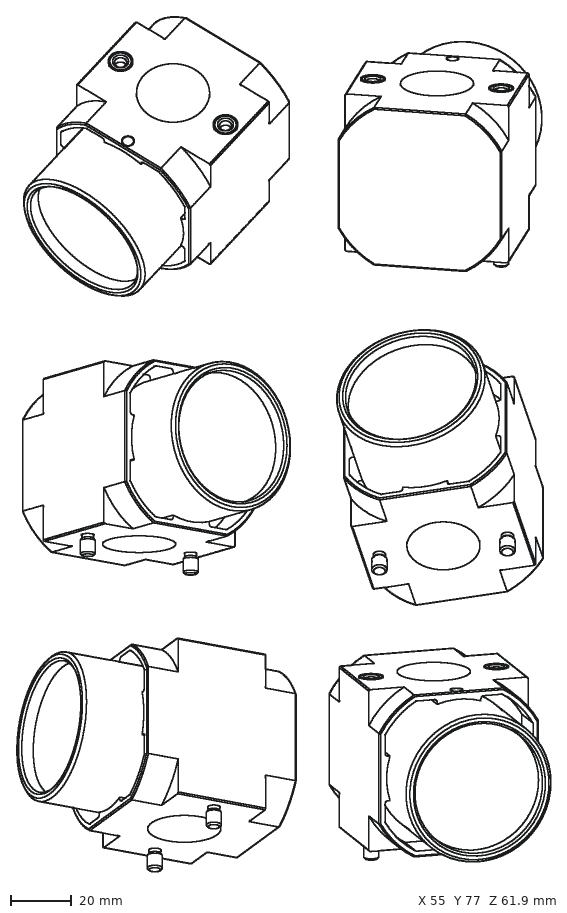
import cadquery as cq


CUBE = 55.0
HALF = CUBE / 2
EDGE_CHAMFER = 0.5
TOTAL_DEPTH = 77.0
BARREL_LENGTH = TOTAL_DEPTH - CUBE
CENTRE_WIDTH = 32.2
LUG_DEPTH = (CUBE - CENTRE_WIDTH) / 2
LUG_RADIUS = 31.5
BORE_DIAMETER = 24.0

BARREL_DIAMETER = 50.0
BARREL_CHAMFER = 1.0
RECESS_DIAMETER = 44.0
RECESS_DEPTH = 5.0
RECESS_CHAMFER = 0.8

POCKET_WALL = 2.0
POCKET_DEPTH = 12.0
POCKET_END = 7.55
POCKET_END_ROUND = 1.0

MARK_DIAMETER = 4.15
MARK_FLOOR_DIAMETER = 3.7
MARK_DEPTH = 0.1
MARK_FROM_FRONT = 2.85

SCREW_OFFSET = 21.55
SCREW_HEAD_DIAMETER = 7.0
SCREW_HEAD_HEIGHT = 5.0
HEAD_HOLE_MOUTH_DIAMETER = 8.1
SHANK_DIAMETER = 4.15
NECK_DIAMETER = 3.7
THREAD_DIAMETER = 5.0
TIP_DIAMETER = 3.8
SCREW_PROTRUSION = 6.85
SHANK_TAPER = 0.85
NECK_END = 1.1
THREAD_START = 1.9
TIP_CHAMFER = 0.6
SOCKET_MOUTH_DIAMETER = 5.2
SOCKET_DIAMETER = 4.0
SOCKET_CHAMFER = (SOCKET_MOUTH_DIAMETER - SOCKET_DIAMETER) / 2
SOCKET_DEPTH = 3.0
SOCKET_CONE_DEPTH = 1.15


def cylinder_from_front(diameter, front_y, depth):
    """Round bar along Y that starts at front_y and runs back by depth."""
    plane = cq.Workplane("XZ", origin=(0, front_y, 0))
    return plane.circle(diameter / 2).extrude(-depth)


def lug(front_y):
    """Slice of the cube with rounded corners that starts at front_y."""
    block = cq.Workplane("XY").box(CUBE, LUG_DEPTH, CUBE)
    rounded = block.intersect(cylinder_from_front(2 * LUG_RADIUS, -LUG_DEPTH / 2, LUG_DEPTH))
    return rounded.translate((0, front_y + LUG_DEPTH / 2, 0))


def cube():
    centre = cq.Workplane("XY").box(CUBE, CENTRE_WIDTH, CUBE).edges("|Y").chamfer(EDGE_CHAMFER)
    front = lug(-HALF).faces("<Y").chamfer(EDGE_CHAMFER)
    back = lug(HALF - LUG_DEPTH).faces(">Y").chamfer(EDGE_CHAMFER)
    return centre.union(front).union(back)


def barrel():
    """Round barrel that stands on the floor of the corner pockets."""
    front_y = -HALF - BARREL_LENGTH
    body = cylinder_from_front(BARREL_DIAMETER, front_y, BARREL_LENGTH + POCKET_DEPTH)
    return body.faces("<Y").chamfer(BARREL_CHAMFER)


def barrel_recess():
    """Round recess in the front of the barrel, chamfered at its mouth."""
    front_y = -HALF - BARREL_LENGTH
    front = cq.Workplane("XZ", origin=(0, front_y, 0))
    mouth = front.circle(RECESS_DIAMETER / 2 + RECESS_CHAMFER).extrude(-RECESS_CHAMFER, taper=45)
    return mouth.union(cylinder_from_front(RECESS_DIAMETER, front_y, RECESS_DEPTH))


def corner_pocket():
    """Pocket in the +X +Z corner of the front face."""
    size = HALF - POCKET_WALL - POCKET_END
    middle = POCKET_END + size / 2
    block = cq.Workplane("XY").box(size, POCKET_DEPTH, size)
    block = block.translate((middle, -HALF + POCKET_DEPTH / 2, middle))
    ends = cq.selectors.SumSelector(
        cq.selectors.NearestToPointSelector((POCKET_END, -HALF, POCKET_END + size)),
        cq.selectors.NearestToPointSelector((POCKET_END + size, -HALF, POCKET_END)),
    )
    block = block.edges("|Y").edges(ends).fillet(POCKET_END_ROUND)
    return block.intersect(cylinder_from_front(2 * (LUG_RADIUS - POCKET_WALL), -HALF, POCKET_DEPTH))


def top_mark():
    plane = cq.Workplane("XY", origin=(0, -HALF + MARK_FROM_FRONT, HALF))
    mouth = plane.circle(MARK_DIAMETER / 2).workplane(offset=-MARK_DEPTH)
    return mouth.circle(MARK_FLOOR_DIAMETER / 2).loft()


def turned(outline):
    """Solid of revolution about Z from an outline of (radius, height) points."""
    return cq.Workplane("XZ").polyline(outline).close().revolve(360, (0, 0, 0), (0, 1, 0))


def screw_hole():
    """Stepped hole along Z that fits the shank and widens around the screw head towards the top."""
    head = SCREW_HEAD_DIAMETER / 2
    shank = SHANK_DIAMETER / 2
    outline = [
        (0, -HALF),
        (shank, -HALF),
        (shank, HALF - SCREW_HEAD_HEIGHT),
        (head, HALF - SCREW_HEAD_HEIGHT),
        (HEAD_HOLE_MOUTH_DIAMETER / 2, HALF),
        (0, HALF),
    ]
    return turned(outline)


def screw():
    """Screw along Z whose head is flush with the top face and whose thread sticks out below."""
    head = SCREW_HEAD_DIAMETER / 2
    shank = SHANK_DIAMETER / 2
    neck = NECK_DIAMETER / 2
    thread = THREAD_DIAMETER / 2
    tip_z = -HALF - SCREW_PROTRUSION
    socket_floor = HALF - SOCKET_DEPTH
    outline = [
        (0, tip_z),
        (TIP_DIAMETER / 2, tip_z),
        (thread, tip_z + TIP_CHAMFER),
        (thread, -HALF - THREAD_START),
        (neck, -HALF - NECK_END),
        (neck, -HALF - SHANK_TAPER),
        (shank, -HALF),
        (shank, HALF - SCREW_HEAD_HEIGHT),
        (head, HALF - SCREW_HEAD_HEIGHT),
        (head, HALF),
        (SOCKET_MOUTH_DIAMETER / 2, HALF),
        (SOCKET_DIAMETER / 2, HALF - SOCKET_CHAMFER),
        (SOCKET_DIAMETER / 2, socket_floor),
        (0, socket_floor - SOCKET_CONE_DEPTH),
    ]
    return turned(outline)


screw_places = [(side * SCREW_OFFSET, 0, 0) for side in (-1, 1)]

housing = cube()
pocket = corner_pocket()
for quarter_turn in range(4):
    housing = housing.cut(pocket.rotate((0, 0, 0), (0, 1, 0), 90 * quarter_turn))
housing = housing.union(barrel()).cut(barrel_recess()).cut(top_mark())
housing = housing.cut(cq.Workplane("XY").circle(BORE_DIAMETER / 2).extrude(HALF, both=True))
for place in screw_places:
    housing = housing.cut(screw_hole().translate(place))

screws = [screw().translate(place) for place in screw_places]

result = cq.Compound.makeCompound([housing.val(), *[body.val() for body in screws]])